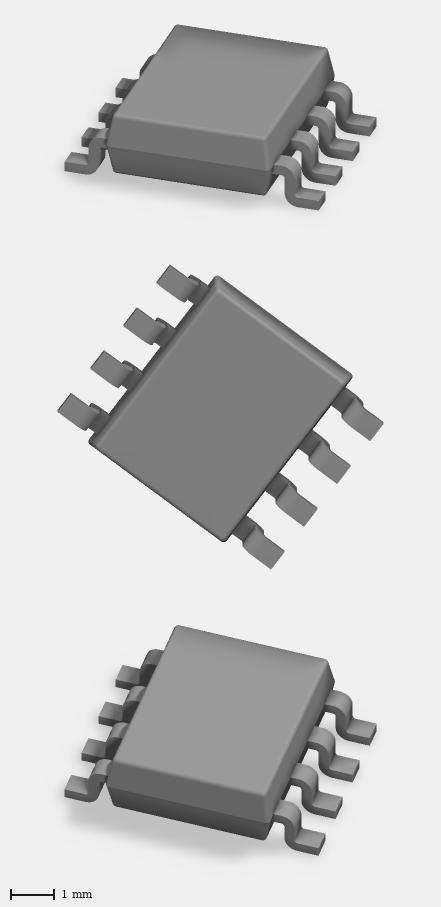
import cadquery as cq

lead_span = 6.2
overall_height = 1.8

housing_width = 4.0
housing_length = 5.0
standoff = 0.25
draft_angle = 10.0
edge_radius = 0.1
half_height = (overall_height - standoff) / 2
parting_z = standoff + half_height

leads_per_side = 4
lead_pitch = 1.27
lead_width = 0.51
lead_thickness = 0.25
inner_bend_radius = 0.075
outer_bend_radius = inner_bend_radius + lead_thickness
lead_drop_x = 2.52
lead_embed = 0.185
lead_root_x = housing_width / 2 - lead_embed
lead_rows = [(i - (leads_per_side - 1) / 2) * lead_pitch for i in range(leads_per_side)]

marker_diameter = 0.5
marker_depth = 0.04
marker_x = -1.36
marker_y = max(lead_rows)


def make_housing_blank():
    """Two drafted halves, mirrored about the parting plane, with rounded edges."""
    upper_half = (
        cq.Workplane("XY")
        .rect(housing_width, housing_length)
        .extrude(half_height, taper=draft_angle)
        .edges("not(<Z)")
        .fillet(edge_radius)
    )
    lower_half = upper_half.mirror("XY")
    return upper_half.union(lower_half).translate((0, 0, parting_z))


def make_lead(y_center, turn):
    """One S-bent lead centred on y_center; turn is 0 for the +X side, 180 for the -X side."""
    tip_x = lead_span / 2
    drop_inner_x = lead_drop_x - lead_thickness
    upper_bend_x = lead_drop_x - outer_bend_radius
    lower_bend_x = drop_inner_x + outer_bend_radius
    shoulder_underside_z = parting_z - lead_thickness
    upper_bend_z = parting_z - outer_bend_radius
    lower_bend_z = outer_bend_radius
    blank = (
        cq.Workplane("XZ")
        .moveTo(lead_root_x, parting_z)
        .lineTo(upper_bend_x, parting_z)
        .radiusArc((lead_drop_x, upper_bend_z), outer_bend_radius)
        .lineTo(lead_drop_x, lower_bend_z)
        .radiusArc((lower_bend_x, lead_thickness), -inner_bend_radius)
        .lineTo(tip_x, lead_thickness)
        .lineTo(tip_x, 0)
        .lineTo(lower_bend_x, 0)
        .radiusArc((drop_inner_x, lower_bend_z), outer_bend_radius)
        .lineTo(drop_inner_x, upper_bend_z)
        .radiusArc((upper_bend_x, shoulder_underside_z), -inner_bend_radius)
        .lineTo(lead_root_x, shoulder_underside_z)
        .close()
        .extrude(lead_width / 2, both=True)
    )
    return blank.rotate((0, 0, 0), (0, 0, 1), turn).translate((0, y_center, 0))


def make_marker():
    """Disc whose top face is level with the housing top."""
    return (
        cq.Workplane("XY", origin=(marker_x, marker_y, overall_height - marker_depth))
        .circle(marker_diameter / 2)
        .extrude(marker_depth)
    )


leads = [make_lead(y, turn) for turn in (0, 180) for y in lead_rows]
marker = make_marker()

housing = make_housing_blank().cut(marker)
for lead in leads:
    housing = housing.cut(lead)

result = cq.Compound.makeCompound([housing.val(), marker.val(), *[lead.val() for lead in leads]])